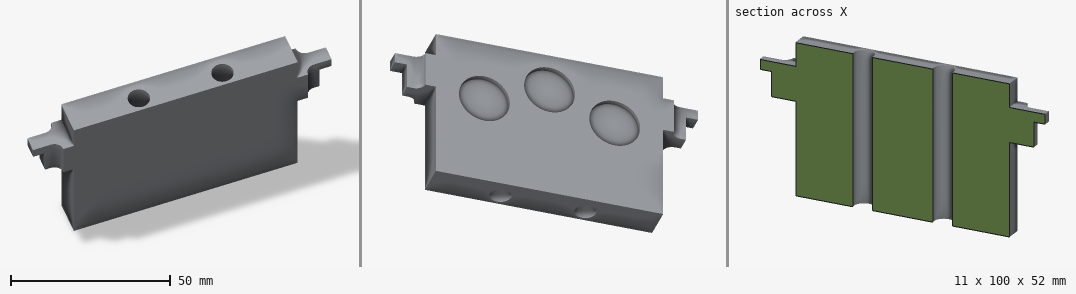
import cadquery as cq

thickness = 11.0
plate_width = 75.0
height = 52.0

overall_length = 100.0
lug_top = height - 8.0
lug_height = 12.0
lug_root = 3.5
tongue_thickness = 5.0
cove_radius = (thickness - tongue_thickness) / 2
lip_length = 4.0
lip_height = 3.5

hole_diameter = 7.0
hole_spacing = 28.0
hole_offset = 1.0

pocket_diameter = 16.8
pocket_depth = 2.0
outer_pocket_y = 21.5
outer_pocket_z = height - 21.0
middle_pocket_z = height - 13.0


def make_lug():
    """Lug on the +Y end: full-thickness root, two coves, then a tongue with an overhanging lip."""
    plate_end = plate_width / 2
    root_end = plate_end + lug_root
    cove_end = root_end + cove_radius
    tip = overall_length / 2
    half_plate = thickness / 2
    half_tongue = tongue_thickness / 2
    cove_reach = cove_radius * 0.5 ** 0.5
    cove_mid_x = half_plate - cove_reach
    cove_mid_y = cove_end - cove_reach
    lug = (
        cq.Workplane("XY", origin=(0, 0, lug_top - lug_height))
        .moveTo(-half_plate, plate_end)
        .lineTo(half_plate, plate_end)
        .lineTo(half_plate, root_end)
        .threePointArc((cove_mid_x, cove_mid_y), (half_tongue, cove_end))
        .lineTo(half_tongue, tip)
        .lineTo(-half_tongue, tip)
        .lineTo(-half_tongue, cove_end)
        .threePointArc((-cove_mid_x, cove_mid_y), (-half_plate, root_end))
        .close()
        .extrude(lug_height)
    )
    under_lip = cq.Workplane("XY").box(
        thickness, lip_length, lug_height - lip_height, centered=(True, False, False)
    ).translate((0, tip - lip_length, lug_top - lug_height))
    return lug.cut(under_lip)


plate = cq.Workplane("XY").box(thickness, plate_width, height, centered=(True, True, False))
lug = make_lug()
body = plate.union(lug).union(lug.mirror("XZ"))

hole_positions = [(hole_offset, side * hole_spacing / 2) for side in (-1, 1)]
holes = (
    cq.Workplane("XY")
    .pushPoints(hole_positions)
    .circle(hole_diameter / 2)
    .extrude(height)
)

pocket_positions = [
    (-outer_pocket_y, outer_pocket_z),
    (0, middle_pocket_z),
    (outer_pocket_y, outer_pocket_z),
]
pockets = (
    cq.Workplane("YZ", origin=(-thickness / 2, 0, 0))
    .pushPoints(pocket_positions)
    .circle(pocket_diameter / 2)
    .extrude(pocket_depth)
)

result = body.cut(holes).cut(pockets)